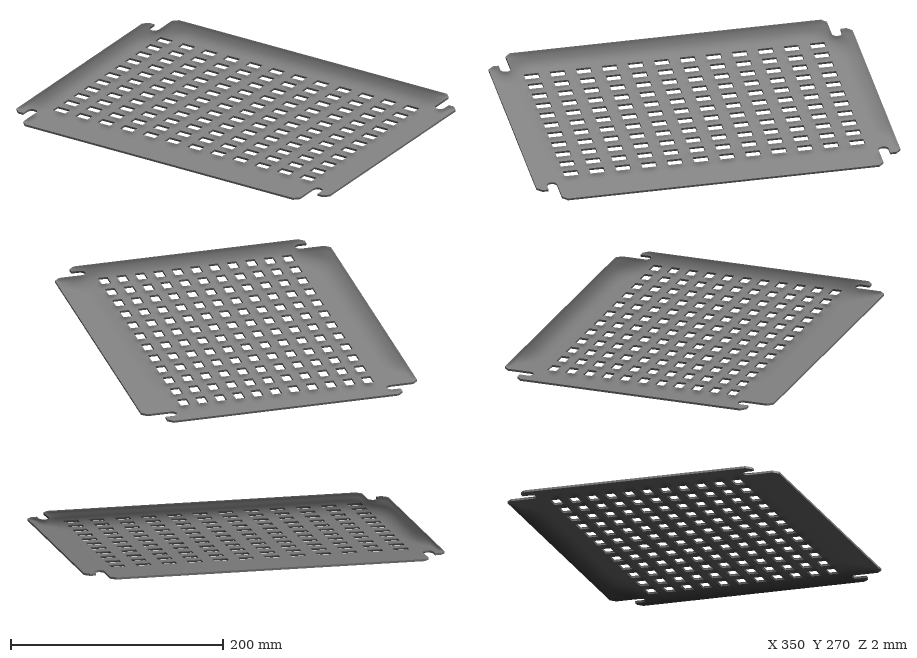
import cadquery as cq

LENGTH = 350.0
WIDTH = 270.0
THICKNESS = 2.0

FLANGE_LENGTH = 309.0
TAB_STEP = 20.0
SLOT_WIDTH = 9.8
SLOT_DEPTH = 32.2
CORNER_CHAMFER = 5.0

COLUMNS = 12
ROWS = 11
GRID_LENGTH = 275.0
GRID_WIDTH = 180.0
WINDOW_LENGTH = 14.0
WINDOW_WIDTH = 9.0


def make_blank():
    """Plate with four stepped corners, chamfered at the flanges and end tabs."""
    tab_width = WIDTH - 2 * TAB_STEP
    flanges = cq.Workplane("XY").box(FLANGE_LENGTH, WIDTH, THICKNESS).edges("|Z").chamfer(CORNER_CHAMFER)
    tabs = cq.Workplane("XY").box(LENGTH, tab_width, THICKNESS).edges("|Z").chamfer(CORNER_CHAMFER)
    return flanges.union(tabs)


def make_corner_slots():
    """Slots that open at the plate corners and run inward along Y."""
    radius = SLOT_WIDTH / 2
    slot_x = FLANGE_LENGTH / 2 + radius
    open_y = WIDTH / 2
    round_y = open_y - SLOT_DEPTH + radius
    slot = (
        cq.Workplane("XY")
        .moveTo(slot_x - radius, open_y)
        .lineTo(slot_x - radius, round_y)
        .threePointArc((slot_x, round_y - radius), (slot_x + radius, round_y))
        .lineTo(slot_x + radius, open_y)
        .close()
        .extrude(THICKNESS, both=True)
    )
    rear_slots = slot.union(slot.mirror("YZ"))
    return rear_slots.union(rear_slots.mirror("XZ"))


def make_windows():
    """Rectangular through-windows on a regular grid."""
    column_pitch = GRID_LENGTH / (COLUMNS - 1)
    row_pitch = GRID_WIDTH / (ROWS - 1)
    return (
        cq.Workplane("XY")
        .rarray(column_pitch, row_pitch, COLUMNS, ROWS)
        .rect(WINDOW_LENGTH, WINDOW_WIDTH)
        .extrude(THICKNESS, both=True)
    )


result = make_blank().cut(make_corner_slots()).cut(make_windows())